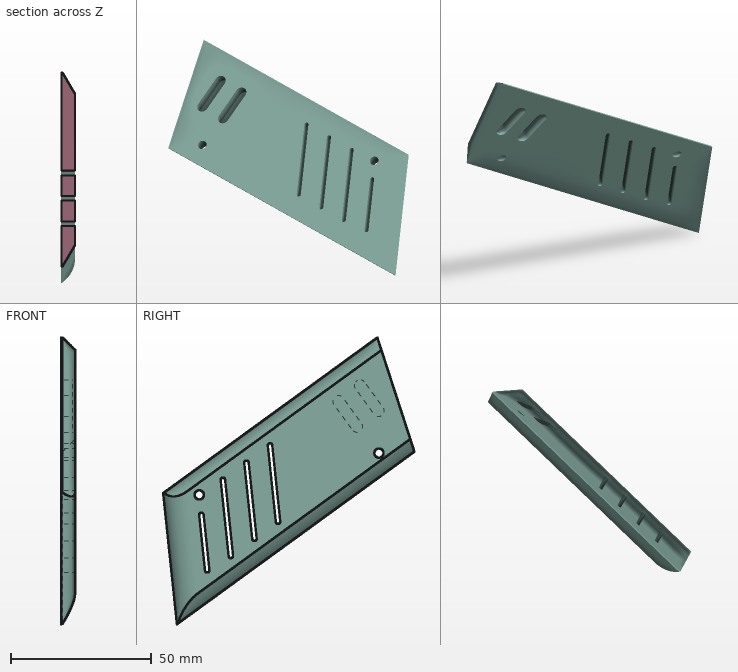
import cadquery as cq
import math

THICKNESS = 5.0
LOWER_EDGE = 104.31
HEIGHT = 40.55
TILT = 36.0
SQUARE_END_LEAN = 18.0
ROUND_END_ANGLE = 60.0

EDGE_LAND = 0.5
BEVEL = THICKNESS - EDGE_LAND
ROUND_RADIUS = 10.0

SCREW_HOLE_DIAMETER = 3.2
SCREW_HOLES = [(10.5, 7.0), (70.85, 32.5)]
SLOT_WIDTH = 1.5
SLOT_PITCH = 10.35
LONG_SLOTS = 3
LONG_SLOT_CENTER = (47.0, 20.15)
LONG_SLOT_LENGTH = 28.7
SHORT_SLOT_CENTER = (79.35, 17.75)
SHORT_SLOT_LENGTH = 21.3

POCKET_WIDTH = 4.0
POCKET_LENGTH = 15.2
POCKET_DEPTH = 4.0
POCKET_CENTERS = [(1.8, 24.8), (11.3, 24.8)]

tilt = math.radians(TILT)
top_left = -HEIGHT * math.tan(math.radians(SQUARE_END_LEAN))
top_right = LOWER_EDGE - HEIGHT / math.tan(math.radians(ROUND_END_ANGLE))

along = cq.Vector(0, -math.cos(tilt), -math.sin(tilt))
face = cq.Plane(origin=(0, 0, 0), xDir=along, normal=(-1, 0, 0))


def blank():
    outline = [(0, 0), (LOWER_EDGE, 0), (top_right, HEIGHT), (top_left, HEIGHT)]
    return cq.Workplane(face).polyline(outline).close().extrude(-THICKNESS)


def bevel_envelope():
    """Plate section with both long edges bevelled towards the back face."""
    end_plane = cq.Plane(
        origin=face.toWorldCoords((2 * top_left, 0, 0)), xDir=(1, 0, 0), normal=along
    )
    section = [
        (0, 0),
        (EDGE_LAND, 0),
        (THICKNESS, BEVEL),
        (THICKNESS, HEIGHT - BEVEL),
        (EDGE_LAND, HEIGHT),
        (0, HEIGHT),
    ]
    return cq.Workplane(end_plane).polyline(section).close().extrude(2 * LOWER_EDGE)


def round_end_envelope():
    """Prism along the -Y end whose side curves in and meets the back face tangentially."""
    end_angle = math.radians(180 - ROUND_END_ANGLE)
    end_direction = face.xDir * math.cos(end_angle) + face.yDir * math.sin(end_angle)
    corner = face.toWorldCoords((LOWER_EDGE, 0, 0))
    section_plane = cq.Plane(
        origin=corner - end_direction * LOWER_EDGE, xDir=(1, 0, 0), normal=end_direction
    )
    center_depth = THICKNESS - ROUND_RADIUS
    sweep = math.acos(-center_depth / ROUND_RADIUS)
    inset = ROUND_RADIUS * math.sin(sweep)
    arc_middle = (
        center_depth + ROUND_RADIUS * math.cos(sweep / 2),
        inset - ROUND_RADIUS * math.sin(sweep / 2),
    )
    reach = 2 * LOWER_EDGE
    return (
        cq.Workplane(section_plane)
        .moveTo(0, 0)
        .threePointArc(arc_middle, (THICKNESS, inset))
        .lineTo(THICKNESS, reach)
        .lineTo(0, reach)
        .close()
        .extrude(reach)
    )


def slot(center, length, width, angle, depth):
    return (
        cq.Workplane(face)
        .center(*center)
        .slot2D(length, width, angle)
        .extrude(-depth)
    )


def screw_holes():
    holes = cq.Workplane(face).pushPoints(SCREW_HOLES).circle(SCREW_HOLE_DIAMETER / 2)
    return holes.extrude(-THICKNESS)


def narrow_slots():
    """Row of equal long slots and one short slot, all parallel to the -Y end."""
    angle = 180 - ROUND_END_ANGLE
    first_along, across = LONG_SLOT_CENTER
    slots = slot(SHORT_SLOT_CENTER, SHORT_SLOT_LENGTH, SLOT_WIDTH, angle, THICKNESS)
    for index in range(LONG_SLOTS):
        center = (first_along + index * SLOT_PITCH, across)
        slots = slots.union(slot(center, LONG_SLOT_LENGTH, SLOT_WIDTH, angle, THICKNESS))
    return slots


def pockets():
    """Two blind pockets square to the long edges."""
    first, second = [
        slot(center, POCKET_LENGTH, POCKET_WIDTH, 90, POCKET_DEPTH) for center in POCKET_CENTERS
    ]
    return first.union(second)


result = (
    blank()
    .intersect(bevel_envelope())
    .intersect(round_end_envelope())
    .cut(screw_holes())
    .cut(narrow_slots())
    .cut(pockets())
)